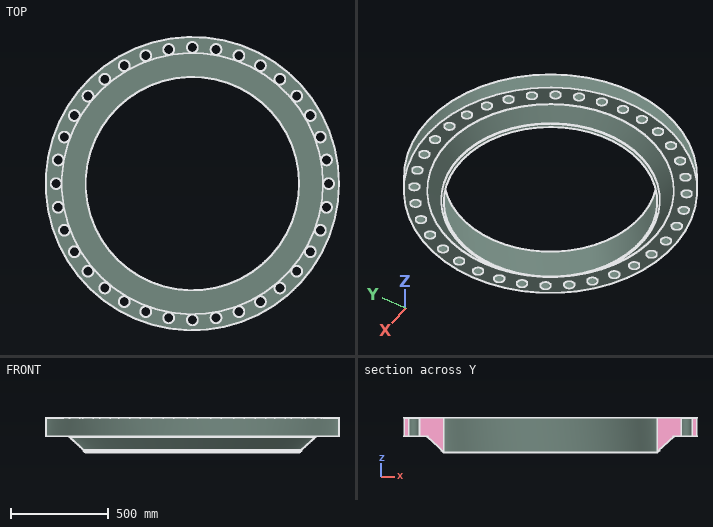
import cadquery as cq

flange_diameter = 1505.0
total_height = 179.0
bore_diameter = 1093.0

face_diameter = 1340.0
face_height = 2.0
flange_thickness = 95.0

hub_top_diameter = 1264.0
hub_end_diameter = 1121.0
weld_land_width = 2.0
bevel_height = 9.0
weld_neck_height = 6.0
hub_collar_height = 3.0

bolt_count = 36
bolt_circle_diameter = 1397.0
bolt_hole_diameter = 54.0

flange_top = total_height - face_height
flange_bottom = flange_top - flange_thickness
taper_bottom = bevel_height + weld_neck_height

bore_radius = bore_diameter / 2
hub_top_radius = hub_top_diameter / 2
hub_end_radius = hub_end_diameter / 2
face_radius = face_diameter / 2
flange_radius = flange_diameter / 2


def make_body():
    """Revolve the half section of the flange, hub and bore about Z."""
    section = [
        (bore_radius, 0),
        (bore_radius + weld_land_width, 0),
        (hub_end_radius, bevel_height),
        (hub_end_radius, taper_bottom),
        (hub_top_radius, flange_bottom - hub_collar_height),
        (hub_top_radius, flange_bottom),
        (flange_radius, flange_bottom),
        (flange_radius, flange_top),
        (face_radius, flange_top),
        (face_radius, total_height),
        (bore_radius, total_height),
    ]
    return cq.Workplane("XZ").polyline(section).close().revolve(360, (0, 0), (0, 1))


def make_bolt_holes():
    """Evenly spaced cylinders running through the flange."""
    return (
        cq.Workplane("XY")
        .polarArray(bolt_circle_diameter / 2, 0, 360, bolt_count)
        .circle(bolt_hole_diameter / 2)
        .extrude(total_height)
    )


result = make_body().cut(make_bolt_holes())